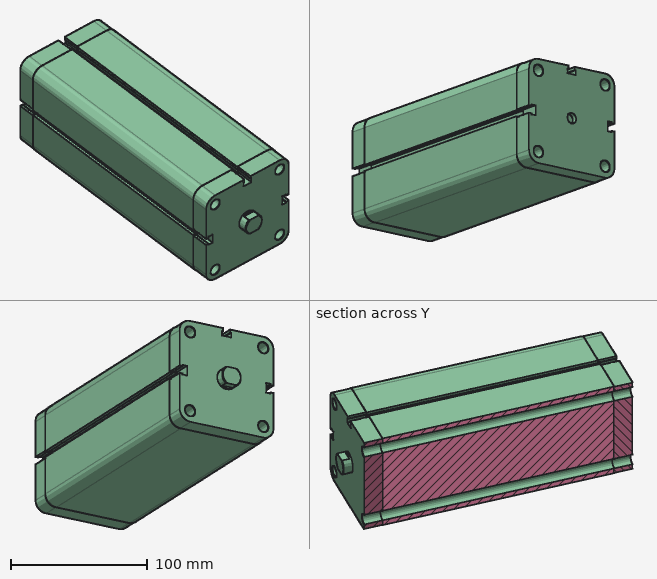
import cadquery as cq


cap_length = 14.5
caps_span = 210.0
barrel_length = caps_span - 2 * cap_length
rod_protrusion = 7.5

barrel_width = 80.0
cap_inset = 0.25
cap_width = barrel_width - 2 * cap_inset
screw_offset = 31.0
screw_hole_diameter = 8.4
screw_hole_chamfer = 0.3

slot_floor = 33.6
slot_ledge = 37.3
barrel_slot_neck = 4.6
barrel_slot_width = 6.4
slot_clearance = 0.6
slot_angles = (-90, 0, 90)

centring_diameter = 8.0
centring_depth = 4.0

rod_diameter = 16.0
rod_across_flats = 13.0
rod_collar_length = 1.5
rod_end_chamfer = 0.5


def t_slot(start, length, clearance):
    """T-slot cutter opening towards +Z, widened by the clearance on each flank."""
    neck = barrel_slot_neck + 2 * clearance
    width = barrel_slot_width + 2 * clearance
    neck_height = barrel_width / 2 - slot_floor
    head_height = slot_ledge - slot_floor
    floor_plane = cq.Workplane("YZ", origin=(start, 0, slot_floor))
    neck_cut = floor_plane.center(0, neck_height / 2).rect(neck, neck_height).extrude(length)
    head_cut = floor_plane.center(0, head_height / 2).rect(width, head_height).extrude(length)
    return neck_cut.union(head_cut)


def slotted_block(start, length, width, clearance):
    """Rounded square block with corner screw holes and three T-slots."""
    corner_radius = width / 2 - screw_offset
    block = cq.Workplane("YZ", origin=(start, 0, 0)).rect(width, width).extrude(length)
    block = block.edges("|X").fillet(corner_radius)
    screw_holes = (
        cq.Workplane("YZ", origin=(start, 0, 0))
        .rect(2 * screw_offset, 2 * screw_offset, forConstruction=True)
        .vertices()
        .circle(screw_hole_diameter / 2)
        .extrude(length)
    )
    block = block.cut(screw_holes)
    slot = t_slot(start, length, clearance)
    for angle in slot_angles:
        block = block.cut(slot.rotate((0, 0, 0), (1, 0, 0), angle))
    return block


def cap_block(start, outer_face):
    """End cap with its screw holes chamfered at the outer face."""
    cap = slotted_block(start, cap_length, cap_width, slot_clearance)
    hole_rims = cap.faces(outer_face).edges(cq.selectors.RadiusNthSelector(0))
    return cap.newObject(hole_rims.vals()).chamfer(screw_hole_chamfer)


def make_barrel():
    return slotted_block(cap_length, barrel_length, barrel_width, 0)


def make_rear_cap():
    centring_hole = cq.Workplane("YZ").circle(centring_diameter / 2).extrude(centring_depth)
    return cap_block(0, "<X").cut(centring_hole)


def make_front_cap():
    start = caps_span - cap_length
    rod_bore = cq.Workplane("YZ", origin=(start, 0, 0)).circle(rod_diameter / 2).extrude(cap_length)
    return cap_block(start, ">X").cut(rod_bore)


def make_rod():
    """Round rod seated in the front cap, with two wrench flats facing up and down."""
    start = caps_span - cap_length
    rod_length = cap_length + rod_protrusion
    rod = cq.Workplane("YZ", origin=(start, 0, 0)).circle(rod_diameter / 2).extrude(rod_length)
    rod = rod.faces(">X").chamfer(rod_end_chamfer)
    flats_start = caps_span + rod_collar_length
    flats_length = rod_protrusion - rod_collar_length
    flats = (
        cq.Workplane("YZ", origin=(flats_start, 0, 0))
        .rect(rod_diameter, 2 * rod_diameter)
        .rect(rod_diameter, rod_across_flats)
        .extrude(flats_length)
    )
    return rod.cut(flats)


barrel = make_barrel()
rear_cap = make_rear_cap()
front_cap = make_front_cap()
rod = make_rod()

result = cq.Compound.makeCompound([barrel.val(), rear_cap.val(), front_cap.val(), rod.val()])